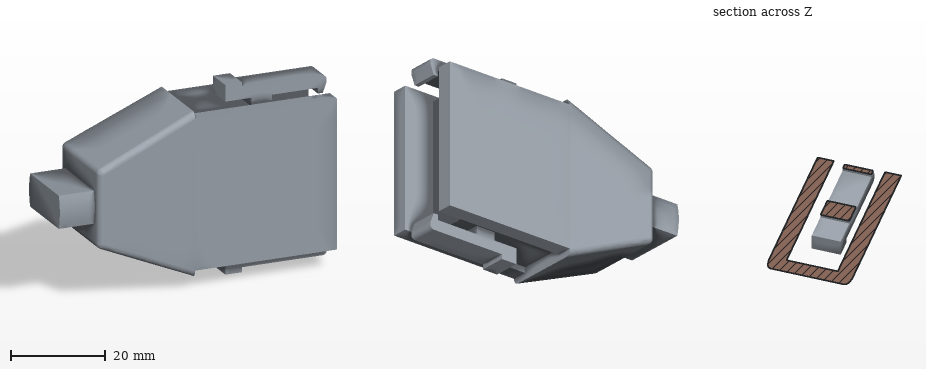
import cadquery as cq

length = 63.5
height = 42.5

housing_width = 18.6
housing_height = 33.85
housing_back = 63.2
channel_width = 11.25
channel_depth = 1.35
core_back = 55.6

boot_front = 8.05
boot_back = 30.6
boot_front_width = 20.25
boot_front_height = 17.3
boot_back_height = 37.0
boot_radius = 1.3

plug_width = 16.2
plug_flat_width = 15.1
plug_height = 7.45

clip_width = 6.4
arm_top = 20.15
arm_bottom = 17.5
head_front = 40.2
head_back = 44.1
foot_front = 46.2
foot_back = 50.95
hook_front = 61.5
hook_bottom = 16.25
hook_bottom_back = 62.6
hook_bulge_z = 18.6
clip_corner_radius = 0.95

channel_floor = housing_height / 2 - channel_depth


def box(width, front, back, bottom, top):
    """Block centred on X between the given Y and Z limits."""
    return cq.Workplane("XY").box(
        width, back - front, top - bottom, centered=(True, False, False)
    ).translate((0, front, bottom))


def make_housing():
    half_height = housing_height / 2
    housing = box(housing_width, boot_back, housing_back, -half_height, half_height)
    gap = box(channel_width, core_back, housing_back, -half_height, half_height)
    upper_channel = box(channel_width, boot_back, housing_back, channel_floor, half_height)
    lower_channel = upper_channel.mirror("XY")
    return housing.cut(gap).cut(upper_channel).cut(lower_channel)


def make_boot():
    boot = (
        cq.Workplane("XZ", origin=(0, boot_back, 0))
        .rect(housing_width, boot_back_height)
        .workplane(offset=boot_back - boot_front)
        .rect(boot_front_width, boot_front_height)
        .loft(ruled=True)
    )
    return boot.edges("not >Y").fillet(boot_radius)


def make_plug():
    half_flat = plug_flat_width / 2
    half_width = plug_width / 2
    half_height = plug_height / 2
    return (
        cq.Workplane("XZ", origin=(0, boot_front, 0))
        .moveTo(-half_flat, -half_height)
        .lineTo(half_flat, -half_height)
        .threePointArc((half_width, 0), (half_flat, half_height))
        .lineTo(-half_flat, half_height)
        .threePointArc((-half_width, 0), (-half_flat, -half_height))
        .close()
        .extrude(boot_front)
    )


def make_upper_clip():
    profile = [
        (head_front, arm_bottom),
        (head_front, height / 2),
        (head_back, height / 2),
        (head_back, arm_top),
        (length, arm_top),
        (length, hook_bulge_z),
        (hook_bottom_back, hook_bottom),
        (hook_front, hook_bottom),
        (hook_front, arm_bottom),
    ]
    arm = cq.Workplane("YZ").polyline(profile).close().extrude(clip_width / 2, both=True)
    top_corner = cq.selectors.NearestToPointSelector((0, length, arm_top))
    arm = arm.edges(top_corner).fillet(clip_corner_radius)
    foot = box(clip_width, foot_front, foot_back, channel_floor, arm_bottom)
    return arm.union(foot)


upper_clip = make_upper_clip()
lower_clip = upper_clip.mirror("XY")
result = (
    make_housing()
    .union(make_boot())
    .union(make_plug())
    .union(upper_clip)
    .union(lower_clip)
)